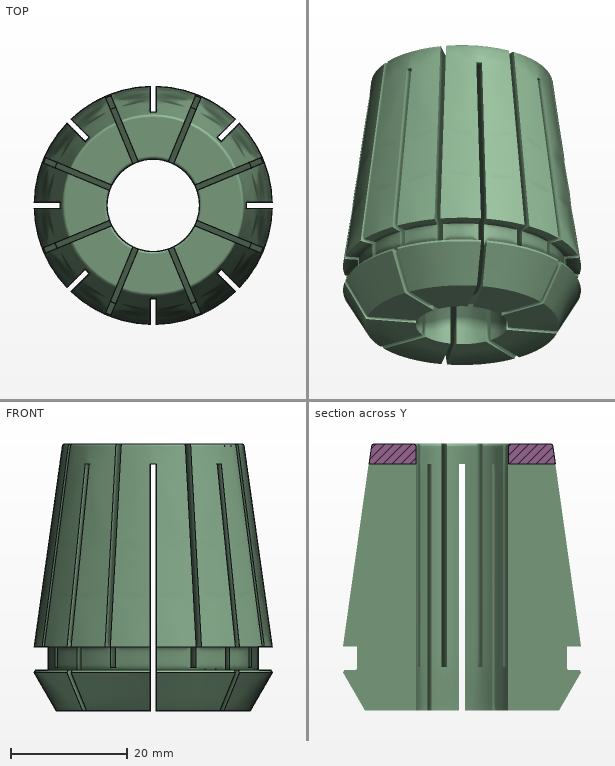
import cadquery as cq
import math

length = 46.0
max_radius = 20.5
bore_radius = 15.88 / 2

nose_angle = 30.0
nose_rim_height = 6.6
groove_bottom = 7.05
groove_top = 11.05
groove_radius = 18.1
groove_fillet = 0.2
rim_bevel_width = 0.25

taper_angle = 8.0
top_fillet = 0.5

slots_per_end = 8
slot_width = 1.0
lower_slot_top = 42.5
upper_slot_floor = 7.5

slot_pitch = 360.0 / slots_per_end
bottom_radius = max_radius - nose_rim_height * math.tan(math.radians(nose_angle))
taper = math.radians(taper_angle)
top_radius = max_radius - (length - groove_top) * math.tan(taper)

fillet_center_radius = top_radius - top_fillet * (1 / math.cos(taper) - math.tan(taper))
fillet_start_radius = fillet_center_radius + top_fillet * math.cos(taper)
fillet_start_height = length - top_fillet * (1 - math.sin(taper))


def collet_body():
    """Revolve the half section around Z."""
    section = (
        cq.Workplane("XZ")
        .moveTo(bore_radius, 0)
        .lineTo(bottom_radius, 0)
        .lineTo(max_radius, nose_rim_height)
        .lineTo(max_radius - rim_bevel_width, groove_bottom)
        .lineTo(groove_radius + groove_fillet, groove_bottom)
        .radiusArc((groove_radius, groove_bottom + groove_fillet), groove_fillet)
        .lineTo(groove_radius, groove_top)
        .lineTo(max_radius, groove_top)
        .lineTo(fillet_start_radius, fillet_start_height)
        .radiusArc((fillet_center_radius, length), -top_fillet)
        .lineTo(bore_radius + top_fillet, length)
        .radiusArc((bore_radius, length - top_fillet), -top_fillet)
        .close()
    )
    return section.revolve(360, (0, 0, 0), (0, 1, 0))


def radial_slots(z_low, z_high, first_angle):
    """Thin radial blades from the axis past the rim, spaced evenly around Z."""
    reach = max_radius + slot_width
    blade = cq.Workplane("XY").box(reach, slot_width, z_high - z_low, centered=(False, True, False))
    blade = blade.translate((0, 0, z_low))
    slots = cq.Workplane("XY")
    for index in range(slots_per_end):
        angle = first_angle + index * slot_pitch
        slots = slots.add(blade.rotate((0, 0, 0), (0, 0, 1), angle))
    return slots.combine()


lower_slots = radial_slots(0, lower_slot_top, 0)
upper_slots = radial_slots(upper_slot_floor, length, slot_pitch / 2)

result = collet_body().cut(lower_slots).cut(upper_slots)